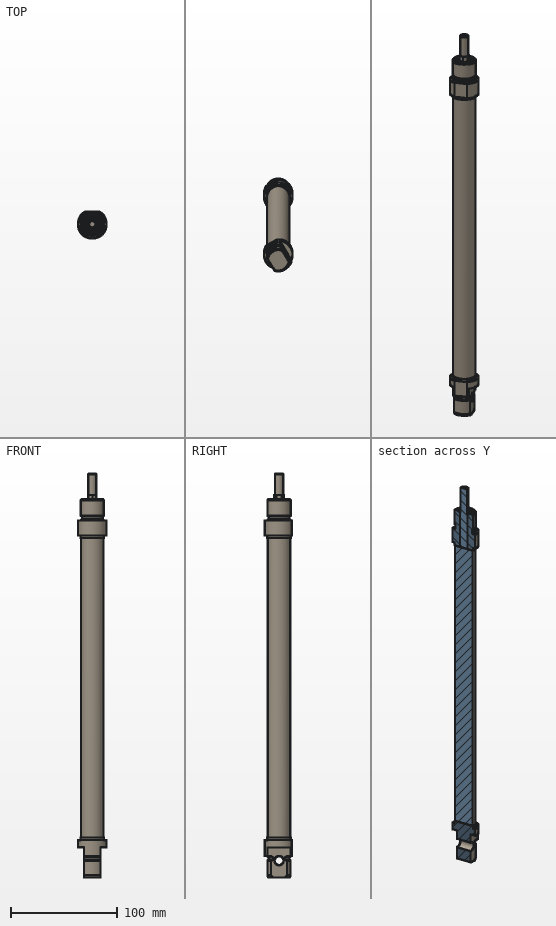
import cadquery as cq
import math

total_length = 381.0
thread_dia = 22.0
groove_dia = 20.0
groove_flank = 1.0
spigot_dia = 22.5
collar_dia = 27.0
collar_depth = 25.5

barrel_dia = 21.5
barrel_bottom = 37.7
barrel_top = 320.0

front_collar_bottom = 322.5
front_collar_top = 336.8
front_groove_top = 341.5
front_cap_top = 357.0
nose_chamfer_height = 1.5
nose_face_dia = 19.0
recess_mouth_dia = 16.0
recess_floor_dia = 14.0
recess_depth = 0.8
rod_clearance_dia = 11.0
rod_clearance_depth = 1.5
recess_floor_z = front_cap_top - recess_depth
clearance_floor_z = front_cap_top - rod_clearance_depth

rear_collar_top = 35.5
rear_collar_bottom = 20.2
rear_groove_bottom = 15.5
tail_face_dia = 20.0
tail_chamfer_height = 2.3
eye_width = 16.0
eye_flat_top = 28.5
eye_hole_dia = 8.5
eye_hole_z = 16.0

rod_dia = 8.0
rod_tip_dia = 6.0
rod_tip_chamfer = (rod_dia - rod_tip_dia) / 2
hex_across_flats = 8.0
hex_top = 360.8


def revolved(profile):
    """Solid of revolution about Z from (radius, z) points."""
    return cq.Workplane("XZ").polyline(profile).close().revolve(360, (0, 0, 0), (0, 1, 0))


def cylinder(diameter, bottom, top):
    """Upright cylinder on the Z axis between two heights."""
    return cq.Workplane("XY").workplane(offset=bottom).circle(diameter / 2).extrude(top - bottom)


def flattened_collar(bottom, top):
    """Collar disc with one flat facing +Y."""
    block = (
        cq.Workplane("XY")
        .box(collar_dia, collar_dia, top - bottom, centered=(True, True, False))
        .translate((0, collar_depth - collar_dia, bottom))
    )
    return cylinder(collar_dia, bottom, top).intersect(block)


def make_barrel():
    return cylinder(barrel_dia, barrel_bottom, barrel_top)


def make_nose_recess():
    """Sloping recess in the nose face with a deeper clearance round the rod."""
    return revolved([
        (0, clearance_floor_z),
        (rod_clearance_dia / 2, clearance_floor_z),
        (rod_clearance_dia / 2, recess_floor_z),
        (recess_floor_dia / 2, recess_floor_z),
        (recess_mouth_dia / 2, front_cap_top),
        (0, front_cap_top),
    ])


def make_front_cap():
    body = revolved([
        (0, barrel_top),
        (spigot_dia / 2, barrel_top),
        (spigot_dia / 2, front_collar_bottom),
        (thread_dia / 2, front_collar_bottom),
        (thread_dia / 2, front_collar_top),
        (groove_dia / 2, front_collar_top + groove_flank),
        (groove_dia / 2, front_groove_top - groove_flank),
        (thread_dia / 2, front_groove_top),
        (thread_dia / 2, front_cap_top - nose_chamfer_height),
        (nose_face_dia / 2, front_cap_top),
        (0, front_cap_top),
    ])
    collar = flattened_collar(front_collar_bottom, front_collar_top)
    rod_bore = cylinder(rod_dia, barrel_top, front_cap_top)
    return body.union(collar).cut(make_nose_recess()).cut(rod_bore)


def make_rear_cap():
    body = revolved([
        (0, 0),
        (tail_face_dia / 2, 0),
        (thread_dia / 2, tail_chamfer_height),
        (thread_dia / 2, rear_groove_bottom),
        (groove_dia / 2, rear_groove_bottom + groove_flank),
        (groove_dia / 2, rear_collar_bottom - groove_flank),
        (thread_dia / 2, rear_collar_bottom),
        (thread_dia / 2, rear_collar_top),
        (spigot_dia / 2, rear_collar_top),
        (spigot_dia / 2, barrel_bottom),
        (0, barrel_bottom),
    ])
    body = body.union(flattened_collar(rear_collar_bottom, rear_collar_top))

    for side in (-1, 1):
        cheek = (
            cq.Workplane("XY")
            .box(collar_dia, collar_dia, eye_flat_top, centered=(True, True, False))
            .translate((side * (eye_width + collar_dia) / 2, 0, 0))
        )
        body = body.cut(cheek)

    pivot = cq.Workplane("YZ").center(0, eye_hole_z).circle(eye_hole_dia / 2).extrude(eye_width, both=True)
    return body.cut(pivot)


def make_rod():
    shank = revolved([
        (0, barrel_top),
        (rod_dia / 2, barrel_top),
        (rod_dia / 2, total_length - rod_tip_chamfer),
        (rod_tip_dia / 2, total_length),
        (0, total_length),
    ])
    hexagon = (
        cq.Workplane("XY")
        .workplane(offset=clearance_floor_z)
        .transformed(rotate=(0, 0, 30))
        .polygon(6, hex_across_flats / math.cos(math.pi / 6))
        .extrude(hex_top - clearance_floor_z)
    )
    return shank.union(hexagon)


barrel = make_barrel()
front_cap = make_front_cap()
rear_cap = make_rear_cap()
rod = make_rod()

result = cq.Compound.makeCompound([barrel.val(), front_cap.val(), rear_cap.val(), rod.val()])